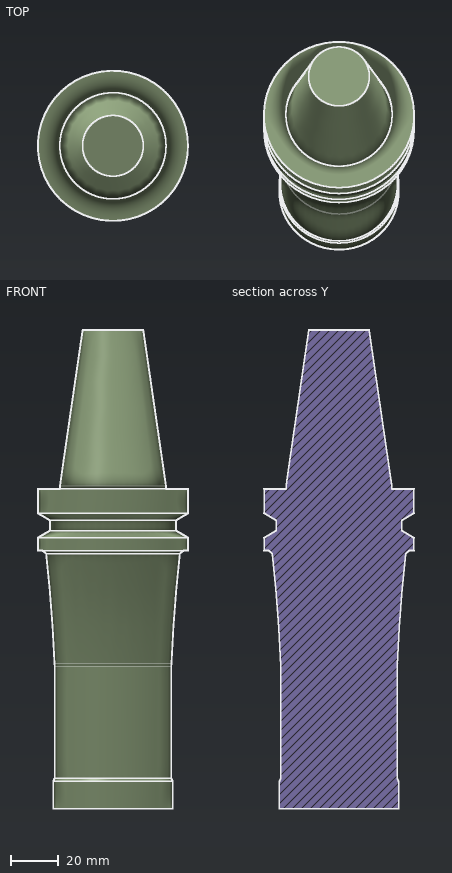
import cadquery as cq

total_length = 200.5
small_end_diameter = 25.5
taper_diameter = 44.5
flange_diameter = 63.0
groove_diameter = 53.0
hub_diameter = 59.3
neck_top_diameter = 56.1
neck_bottom_diameter = 49.0
shank_diameter = 48.9
collar_diameter = 50.0

taper_length = 65.3
taper_land = 1.2
upper_flange_height = 10.2
groove_width = 4.2
groove_wall_height = 3.0
lower_flange_height = 5.5
hub_height = 1.2
neck_length = 45.9
neck_step_height = 1.2
collar_height = 11.6
collar_bevel_height = 1.2

neck_sag = 0.5

taper_base = total_length - taper_length
flange_top = taper_base - taper_land
groove_rim_top = flange_top - upper_flange_height
groove_floor_top = groove_rim_top - groove_wall_height
groove_floor_bottom = groove_floor_top - groove_width
groove_rim_bottom = groove_floor_bottom - groove_wall_height
flange_bottom = groove_rim_bottom - lower_flange_height
neck_top = flange_bottom - hub_height
neck_bottom = neck_top - neck_length
shank_top = neck_bottom - neck_step_height
collar_bevel_top = collar_height + collar_bevel_height

neck_mid_radius = (neck_top_diameter + neck_bottom_diameter) / 4 - neck_sag
neck_mid_level = (neck_top + neck_bottom) / 2

profile = (
    cq.Workplane("XZ")
    .moveTo(0, 0)
    .lineTo(collar_diameter / 2, 0)
    .lineTo(collar_diameter / 2, collar_height)
    .lineTo(shank_diameter / 2, collar_bevel_top)
    .lineTo(shank_diameter / 2, shank_top)
    .lineTo(neck_bottom_diameter / 2, neck_bottom)
    .threePointArc((neck_mid_radius, neck_mid_level), (neck_top_diameter / 2, neck_top))
    .lineTo(hub_diameter / 2, flange_bottom)
    .lineTo(flange_diameter / 2, flange_bottom)
    .lineTo(flange_diameter / 2, groove_rim_bottom)
    .lineTo(groove_diameter / 2, groove_floor_bottom)
    .lineTo(groove_diameter / 2, groove_floor_top)
    .lineTo(flange_diameter / 2, groove_rim_top)
    .lineTo(flange_diameter / 2, flange_top)
    .lineTo(taper_diameter / 2, flange_top)
    .lineTo(taper_diameter / 2, taper_base)
    .lineTo(small_end_diameter / 2, total_length)
    .lineTo(0, total_length)
    .close()
)

result = profile.revolve(360, (0, 0, 0), (0, 1, 0))